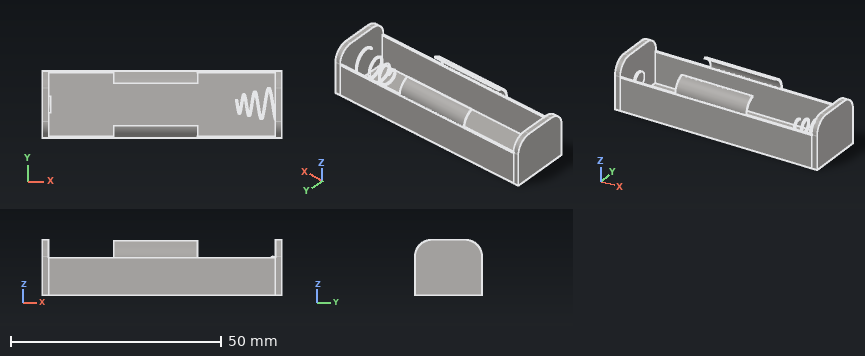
import cadquery as cq
import math

LENGTH = 57.0
BODY_WIDTH = 16.0
END_WIDTH = 16.01
END_HEIGHT = 13.25
END_THICKNESS = 1.5
END_CORNER_RADIUS = 4.0
WALL_HEIGHT = 9.0
WALL_THICKNESS = 0.5
FLOOR_THICKNESS = 0.5

CLIP_LENGTH = 20.0
CLIP_START = 17.0
CLIP_RADIUS = 4.0
CLIP_THICKNESS = 0.3
CLIP_RISE = 0.15
CLIP_END_ANGLE = 74.0

CONTACT_HEIGHT = 5.0
BUTTON_DIAMETER = 4.0
BUTTON_LENGTH = 0.5

WIRE_DIAMETER = 0.4
SPRING_LENGTH = 9.25
SPRING_SMALL_RADIUS = 1.9
SPRING_LARGE_RADIUS = 4.2
SPRING_START_ANGLE = 57.0
SPRING_TURNS = 3.25
SPRING_CURVE_POINTS = 80

FAR_PLATE_START = LENGTH - END_THICKNESS
INNER_LENGTH = FAR_PLATE_START - END_THICKNESS


def make_end_plate(x_start):
    """Upright plate with rounded top corners."""
    plate = cq.Workplane("XY").box(END_THICKNESS, END_WIDTH, END_HEIGHT, centered=(False, True, False))
    return plate.edges("|X and >Z").fillet(END_CORNER_RADIUS).translate((x_start, 0, 0))


def make_tray():
    """Floor and two side walls, open at the top and closed by the end plates."""
    inner_width = BODY_WIDTH - 2 * WALL_THICKNESS
    body = cq.Workplane("XY").box(INNER_LENGTH, BODY_WIDTH, WALL_HEIGHT, centered=(False, True, False))
    cavity = (
        cq.Workplane("XY", origin=(0, 0, FLOOR_THICKNESS))
        .box(INNER_LENGTH, inner_width, WALL_HEIGHT, centered=(False, True, False))
    )
    return body.cut(cavity).translate((END_THICKNESS, 0, 0))


def make_clip():
    """Curved strip on the +Y wall, its outer arc level with the sides of the end plates."""
    centre_y = END_WIDTH / 2 - CLIP_RADIUS
    centre_z = WALL_HEIGHT + CLIP_RISE
    inner_radius = CLIP_RADIUS - CLIP_THICKNESS
    end_angle = math.radians(CLIP_END_ANGLE)

    def arc_point(radius, angle):
        return (centre_y + radius * math.cos(angle), centre_z + radius * math.sin(angle))

    outer_start = arc_point(CLIP_RADIUS, -math.asin(CLIP_RISE / CLIP_RADIUS))
    inner_start = arc_point(inner_radius, -math.asin(CLIP_RISE / inner_radius))
    return (
        cq.Workplane("YZ", origin=(CLIP_START, 0, 0))
        .moveTo(*outer_start)
        .threePointArc(arc_point(CLIP_RADIUS, end_angle / 2), arc_point(CLIP_RADIUS, end_angle))
        .lineTo(*arc_point(inner_radius, end_angle))
        .threePointArc(arc_point(inner_radius, end_angle / 2), inner_start)
        .close()
        .extrude(CLIP_LENGTH)
    )


def make_button():
    """Round flat contact on the first end plate."""
    return (
        cq.Workplane("YZ", origin=(END_THICKNESS, 0, CONTACT_HEIGHT))
        .circle(BUTTON_DIAMETER / 2)
        .extrude(BUTTON_LENGTH)
    )


def spring_point(fraction):
    """Wire centre line for a fraction from 0 to 1 of the winding.

    Radius and pitch both grow by the same ratio every turn.
    """
    growth = SPRING_LARGE_RADIUS / SPRING_SMALL_RADIUS
    swell = growth ** fraction
    angle = math.radians(SPRING_START_ANGLE + 360 * SPRING_TURNS * fraction)
    radius = SPRING_SMALL_RADIUS * swell
    x = FAR_PLATE_START - SPRING_LENGTH * (growth - swell) / (growth - 1)
    return (x, radius * math.cos(angle), CONTACT_HEIGHT + radius * math.sin(angle))


def make_spring():
    """Round wire swept along the conical coil, its large end joining the second end plate."""
    path = cq.Workplane("XY").parametricCurve(spring_point, N=SPRING_CURVE_POINTS)
    edge = path.val().Edges()[0]
    profile = cq.Workplane(cq.Plane(origin=edge.startPoint(), normal=edge.tangentAt(0)))
    return profile.circle(WIRE_DIAMETER / 2).sweep(path, isFrenet=True)


clip = make_clip()
result = (
    make_tray()
    .union(make_end_plate(0))
    .union(make_end_plate(FAR_PLATE_START))
    .union(clip)
    .union(clip.mirror("XZ"))
    .union(make_button())
    .union(make_spring())
)